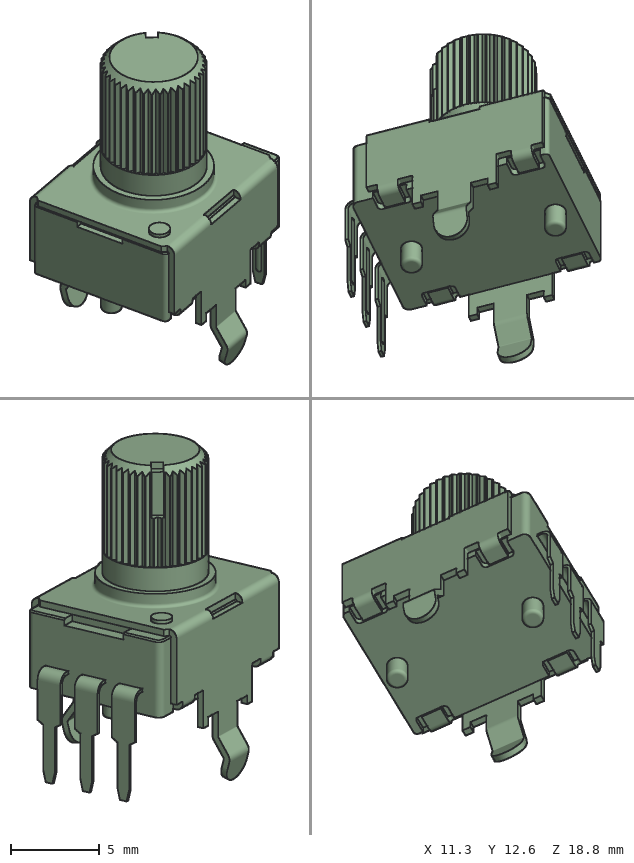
import cadquery as cq
import math


HOUSING_WIDTH = 8.99
HOUSING_FRONT = -5.49
HOUSING_REAR = 6.3
HOUSING_HEIGHT = 4.66
FRONT_CORNER_RADIUS = 0.25
REAR_CORNER_RADIUS = 0.4
TOP_EDGE_CHAMFER = 0.1
TOP_NOTCH_DEPTH = 0.41
FRONT_NOTCH_WIDTH = 3.05
FRONT_NOTCH_LENGTH = 0.4
REAR_NOTCH_WIDTH = 3.99
TAB_POCKET_WIDTH = 2.0
TAB_POCKET_HEIGHT = 0.45
TAB_POCKET_DEPTH = 1.0
TAB_POCKET_RADIUS = 0.25

PIN_DIAMETER = 1.2
PIN_LENGTH = 1.43
PIN_END_FILLET = 0.2
PIN_Y = 4.3
RIVET_X = 3.25
RIVET_HEIGHT = 0.2
RIVET_POINTS = ((-RIVET_X, PIN_Y), (RIVET_X, -PIN_Y))

SHEET = 0.4
COVER_WIDTH = HOUSING_WIDTH + 2 * SHEET
COVER_TOP = HOUSING_HEIGHT + SHEET
COVER_BEND = 0.49
WALL_LENGTH = 10.5
WALL_BOTTOM = 0.58
WINDOW_LENGTH = 3.0
COLLAR_DIAMETER = 6.8
COLLAR_TOP = 5.87
COLLAR_FILLET = 0.2
RELIEF_FILLET = 0.1

TAB_Y = 4.0
TAB_WIDTH = 1.22
TAB_BEND = TAB_POCKET_HEIGHT
TAB_LENGTH = 1.32

LEG_WIDTH = 5.0
LEG_BOTTOM = -1.2
TOOTH_WIDTH = 0.5
TOOTH_BOTTOM = -1.73
FOOT_WIDTH = 2.0
FOOT_SPAN = 11.32
FOOT_BOTTOM = -5.53
KICK_START = -2.73
KICK_ANGLE = 35
RETURN_ANGLE = 15
TIGHT_BEND = 0.1
KNEE_BEND = TIGHT_BEND + SHEET

SHAFT_DIAMETER = 6.0
SHAFT_TOP = 13.27
SHAFT_CHAMFER = 0.5
KNURL_LENGTH = 6.0
KNURL_COUNT = 40
KNURL_DEPTH = 0.2
MARK_WIDTH = 0.7
MARK_INNER_RADIUS = 2.0
MARK_STEP_RADIUS = 2.5
MARK_INNER_DEPTH = 0.4
MARK_OUTER_DEPTH = 3.0
MARK_ANGLE = 126

TERMINAL_PITCH = 2.5
TERMINAL_POSITIONS = (-TERMINAL_PITCH, 0, TERMINAL_PITCH)
TERMINAL_THICKNESS = 0.19
TERMINAL_REAR = 7.1
TERMINAL_TOP = 1.56
TERMINAL_BEND = 0.6
TERMINAL_INSERTION = 0.4
TERMINAL_WIDTH = 1.55
BLADE_WIDTH = 0.79
TIP_WIDTH = 0.45
SHOULDER_START = -1.45
SHOULDER_END = -1.67
TIP_START = -4.4
TIP_END = -5.11
BEAD_WIDTH = 0.35
BEAD_HEIGHT = 0.08
BEAD_TOP = 0.75
BEAD_BOTTOM = -4.14


def box(x_range, y_range, z_range):
    """Axis-aligned box between the given limits."""
    low, high = zip(x_range, y_range, z_range)
    size = [b - a for a, b in zip(low, high)]
    return cq.Workplane("XY").box(*size, centered=False).translate(low)


def centered(width, middle=0):
    """Limits of a width placed around its middle."""
    return (middle - width / 2, middle + width / 2)


def terminal_sheet():
    """Bent strip: a short horizontal run out of the housing, then straight down."""
    start = HOUSING_REAR - TERMINAL_INSERTION
    horizontal = (start, TERMINAL_REAR)
    vertical = (TERMINAL_REAR - TERMINAL_THICKNESS, TERMINAL_REAR)
    across = centered(TERMINAL_WIDTH)
    under = TERMINAL_TOP - TERMINAL_THICKNESS
    strip = box(across, horizontal, (under, TERMINAL_TOP)).union(
        box(across, vertical, (TIP_END, TERMINAL_TOP)))
    strip = strip.edges("|X and >Y and >Z").fillet(TERMINAL_BEND)
    inner_corner = (0, TERMINAL_REAR - TERMINAL_THICKNESS, under)
    return strip.edges(cq.selectors.NearestToPointSelector(inner_corner)).fillet(
        TERMINAL_BEND - TERMINAL_THICKNESS)


def terminal_outline():
    """Front outline of a terminal, deep enough in Y to hold the whole bent strip."""
    right_side = [
        (TERMINAL_WIDTH / 2, TERMINAL_TOP),
        (TERMINAL_WIDTH / 2, SHOULDER_START),
        (BLADE_WIDTH / 2, SHOULDER_END),
        (BLADE_WIDTH / 2, TIP_START),
        (TIP_WIDTH / 2, TIP_END),
    ]
    left_side = [(-x, z) for x, z in reversed(right_side)]
    return cq.Workplane("XZ").polyline(right_side + left_side).close().extrude(-TERMINAL_REAR)


def terminal_bead():
    """Round stiffening bead with ball ends, half sunk in the front face of the blade."""
    radius = ((BEAD_WIDTH / 2) ** 2 + BEAD_HEIGHT ** 2) / (2 * BEAD_HEIGHT)
    face_y = TERMINAL_REAR - TERMINAL_THICKNESS
    axis_y = face_y - BEAD_HEIGHT + radius
    bead = cq.Workplane("XY").circle(radius).extrude(BEAD_TOP - BEAD_BOTTOM)
    bead = bead.translate((0, axis_y, BEAD_BOTTOM))
    for end in (BEAD_BOTTOM, BEAD_TOP):
        bead = bead.union(cq.Workplane("XY").sphere(radius).translate((0, axis_y, end)))
    proud = box(centered(BEAD_WIDTH), (face_y - BEAD_HEIGHT, TERMINAL_REAR - TERMINAL_THICKNESS / 2),
                (BEAD_BOTTOM - radius, BEAD_TOP + radius))
    return bead.intersect(proud)


def make_terminal(x):
    terminal = terminal_sheet().intersect(terminal_outline()).union(terminal_bead())
    return terminal.translate((x, 0, 0))


def make_housing():
    half_width = HOUSING_WIDTH / 2
    top = HOUSING_HEIGHT
    body = box((-half_width, half_width), (HOUSING_FRONT, HOUSING_REAR), (0, top))
    body = body.edges("|Z and <Y").fillet(FRONT_CORNER_RADIUS)
    body = body.edges("|Z and >Y").fillet(REAR_CORNER_RADIUS)
    body = body.faces(">Z").chamfer(TOP_EDGE_CHAMFER)

    notch_z = (top - TOP_NOTCH_DEPTH, top)
    body = body.cut(box(centered(FRONT_NOTCH_WIDTH),
                        (HOUSING_FRONT, HOUSING_FRONT + FRONT_NOTCH_LENGTH), notch_z))
    body = body.cut(box(centered(REAR_NOTCH_WIDTH), (-HOUSING_FRONT, HOUSING_REAR), notch_z))

    for y in (-TAB_Y, TAB_Y):
        for side in (-1, 1):
            pocket = box((half_width - TAB_POCKET_DEPTH, half_width),
                         centered(TAB_POCKET_WIDTH, y), (0, TAB_POCKET_HEIGHT))
            pocket = pocket.edges("|Z and <X").fillet(TAB_POCKET_RADIUS)
            body = body.cut(pocket if side > 0 else pocket.mirror("YZ"))

    for x in TERMINAL_POSITIONS:
        body = body.cut(box(centered(TERMINAL_WIDTH, x),
                            (HOUSING_REAR - TERMINAL_INSERTION, HOUSING_REAR),
                            (TERMINAL_TOP - TERMINAL_THICKNESS, TERMINAL_TOP)))

    for y in (-PIN_Y, PIN_Y):
        pin = cq.Workplane("XY").center(0, y).circle(PIN_DIAMETER / 2).extrude(-PIN_LENGTH)
        body = body.union(pin.faces("<Z").edges().fillet(PIN_END_FILLET))
    return body.union(rivets())


def rivets():
    return (cq.Workplane("XY").workplane(offset=HOUSING_HEIGHT).pushPoints(RIVET_POINTS)
            .circle(PIN_DIAMETER / 2).extrude(SHEET + RIVET_HEIGHT))


def cover_shell():
    """Top plate folded down into two side walls, with the plate running out at front and rear."""
    half_width = COVER_WIDTH / 2
    flat_half = half_width - COVER_BEND
    wall_y = centered(WALL_LENGTH)
    outer = box((-half_width, half_width), wall_y, (WALL_BOTTOM, COVER_TOP))
    outer = outer.edges("|Y and >Z").fillet(COVER_BEND)
    inner = box(centered(HOUSING_WIDTH), wall_y, (WALL_BOTTOM, HOUSING_HEIGHT))
    inner = inner.edges("|Y and >Z").fillet(COVER_BEND - SHEET)
    plate = box((-flat_half, flat_half), (HOUSING_FRONT, -HOUSING_FRONT), (HOUSING_HEIGHT, COVER_TOP))
    plate = plate.edges("|Z").chamfer(-HOUSING_FRONT - WALL_LENGTH / 2)
    shell = outer.cut(inner).union(plate)

    for x_range in ((flat_half, half_width), (-half_width, -flat_half)):
        shell = shell.cut(box(x_range, centered(WINDOW_LENGTH), (COVER_TOP - COVER_BEND, COVER_TOP)))
    return shell


def cover_tab(y):
    """Tab that bends from the +X wall to lie under the housing."""
    outer_x = COVER_WIDTH / 2
    strip = box((outer_x - TAB_LENGTH, outer_x), centered(TAB_WIDTH, y), (0, WALL_BOTTOM))
    strip = strip.edges("|Y and >X and <Z").fillet(TAB_BEND)
    hollow = box((outer_x - TAB_LENGTH, outer_x - SHEET), centered(TAB_WIDTH, y), (SHEET, WALL_BOTTOM))
    return strip.cut(hollow.edges("|Y and >X and <Z").fillet(TAB_BEND - SHEET))


def leg_shoulder():
    """Wide part of the +X leg, with its two teeth."""
    x_range = (COVER_WIDTH / 2 - SHEET, COVER_WIDTH / 2)
    shoulder = box(x_range, centered(LEG_WIDTH), (LEG_BOTTOM, WALL_BOTTOM))
    for side in (-1, 1):
        tooth_y = centered(TOOTH_WIDTH, side * (LEG_WIDTH - TOOTH_WIDTH) / 2)
        shoulder = shoulder.union(box(x_range, tooth_y, (TOOTH_BOTTOM, LEG_BOTTOM)))
    return shoulder


def leg_foot():
    """Sprung foot of the +X leg: straight down, kicked outwards, then back in to a round tip."""
    kick = math.radians(KICK_ANGLE)
    back = math.radians(RETURN_ANGLE)
    half_turn = (kick + back) / 2
    knee_normal = (kick - back) / 2
    outer_x = COVER_WIDTH / 2
    tip_radius = FOOT_WIDTH / 2

    knee_x = FOOT_SPAN / 2 + KNEE_BEND * (math.cos(knee_normal) / math.cos(half_turn) - 1)
    knee_z = KICK_START - (knee_x - outer_x) / math.tan(kick)
    tip_z = FOOT_BOTTOM + tip_radius * math.cos(back)
    tip_x = knee_x - (knee_z - tip_z) * math.tan(back)

    def inside(x, z, normal, half_angle):
        """Matching point on the inner face, along the normal that halves the bend."""
        reach = SHEET / math.cos(half_angle)
        return (x - reach * math.cos(normal), z - reach * math.sin(normal))

    outer_face = [(outer_x, LEG_BOTTOM), (outer_x, KICK_START), (knee_x, knee_z), (tip_x, tip_z)]
    inner_face = [
        inside(tip_x, tip_z, -back, 0),
        inside(knee_x, knee_z, knee_normal, half_turn),
        inside(outer_x, KICK_START, kick / 2, kick / 2),
        (outer_x - SHEET, LEG_BOTTOM),
    ]
    foot = (cq.Workplane("XZ").polyline(outer_face + inner_face).close()
            .extrude(FOOT_WIDTH / 2, both=True))
    bends = [
        (outer_face[1], TIGHT_BEND),
        (inner_face[2], KNEE_BEND),
        (outer_face[2], KNEE_BEND),
        (inner_face[1], TIGHT_BEND),
    ]
    for (x, z), radius in bends:
        foot = foot.edges(cq.selectors.NearestToPointSelector((x, 0, z))).fillet(radius)

    inward = (-math.cos(back), 0, math.sin(back))
    tip_plane = cq.Plane(origin=(tip_x, 0, tip_z), xDir=(0, 1, 0), normal=inward)
    tip = (cq.Workplane(tip_plane).moveTo(-tip_radius, 0)
           .threePointArc((0, tip_radius), (tip_radius, 0)).close().extrude(SHEET))
    return foot.union(tip)


def relief_corners(wall):
    """Round the inside corners where the wall meets the leg and the tabs."""
    corner_y = [LEG_WIDTH / 2]
    corner_y += centered(TAB_WIDTH, TAB_Y)
    middle_x = COVER_WIDTH / 2 - SHEET / 2
    for y in corner_y:
        for side in (-1, 1):
            corner = (middle_x, side * y, WALL_BOTTOM)
            wall = wall.edges(cq.selectors.NearestToPointSelector(corner)).fillet(RELIEF_FILLET)
    return wall


def make_cover():
    side_parts = leg_shoulder().union(leg_foot())
    for y in (-TAB_Y, TAB_Y):
        side_parts = side_parts.union(cover_tab(y))
    half = box((0, FOOT_SPAN), centered(2 * HOUSING_REAR), (FOOT_BOTTOM, COVER_TOP))
    right_half = relief_corners(cover_shell().intersect(half).union(side_parts))
    cover = right_half.union(right_half.mirror("YZ"))

    collar = (cq.Workplane("XY").workplane(offset=HOUSING_HEIGHT)
              .circle(COLLAR_DIAMETER / 2).extrude(COLLAR_TOP - HOUSING_HEIGHT))
    cover = cover.union(collar)
    root = (0, 0, COVER_TOP)
    cover = cover.edges(cq.selectors.NearestToPointSelector(root)).fillet(COLLAR_FILLET)
    bore = (cq.Workplane("XY").workplane(offset=HOUSING_HEIGHT)
            .circle(SHAFT_DIAMETER / 2).extrude(COLLAR_TOP - HOUSING_HEIGHT))
    return cover.cut(bore).cut(rivets())


def make_shaft():
    radius = SHAFT_DIAMETER / 2
    shaft = (cq.Workplane("XY").workplane(offset=HOUSING_HEIGHT)
             .circle(radius).extrude(SHAFT_TOP - HOUSING_HEIGHT))
    shaft = shaft.faces(">Z").edges().chamfer(SHAFT_CHAMFER)

    half_diagonal = 2 * KNURL_DEPTH
    groove_distance = radius - KNURL_DEPTH + half_diagonal
    grooves = (cq.Workplane("XY").workplane(offset=SHAFT_TOP - KNURL_LENGTH)
               .polarArray(groove_distance, 0, 360, KNURL_COUNT)
               .polygon(4, 2 * half_diagonal).extrude(KNURL_LENGTH))
    shaft = shaft.cut(grooves)

    across = centered(MARK_WIDTH)
    mark = box((MARK_INNER_RADIUS, SHAFT_DIAMETER), across, (SHAFT_TOP - MARK_INNER_DEPTH, SHAFT_TOP))
    mark = mark.union(box((MARK_STEP_RADIUS, SHAFT_DIAMETER), across,
                          (SHAFT_TOP - MARK_OUTER_DEPTH, SHAFT_TOP)))
    return shaft.cut(mark.rotate((0, 0, 0), (0, 0, 1), MARK_ANGLE))


housing = make_housing()
cover = make_cover()
shaft = make_shaft()
terminals = [make_terminal(x) for x in TERMINAL_POSITIONS]

result = cq.Compound.makeCompound(
    [housing.val(), cover.val(), shaft.val()] + [terminal.val() for terminal in terminals])